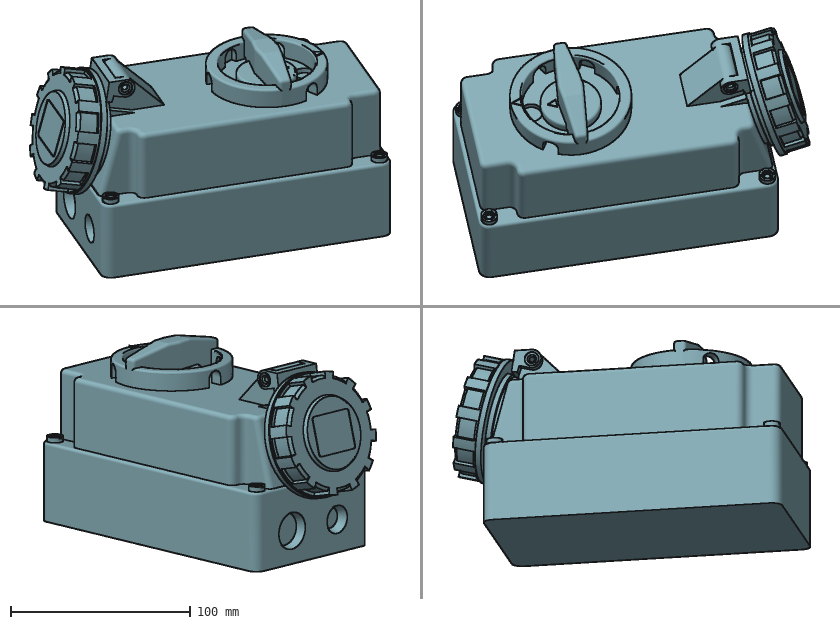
import cadquery as cq
import math

BASE_WIDTH = 90.0
BASE_LENGTH = 170.0
BASE_HEIGHT = 45.6
BASE_CORNER_RADIUS = 6.0
BASE_TOP_FILLET = 1.7

KNOCKOUTS = [(-16.6, 21.0, 18.5), (19.3, 16.0, 12.0)]
KNOCKOUT_HEIGHT = 19.1
KNOCKOUT_DEPTH = 5.8

LID_TOP = 85.6
LID_WIDTH = 84.0
LID_END_WIDTH = 65.7
LID_BACK_GAP = 2.5
LID_NOTCH_LENGTH = 22.0
LID_CORNER_RADIUS = 4.0
LID_SLOPE_FILLET = 3.3
LID_TOP_FILLET = 2.7

SCREW_INSET_X = 6.4
SCREW_INSET_Y = 6.0
SCREW_DIAMETER = 9.0
SCREW_HEIGHT = 2.9
SCREW_RECESS_DIAMETER = 6.0
SCREW_RECESS_DEPTH = 0.8
SCREW_HOLE_DIAMETER = 4.0
SCREW_HOLE_DEPTH = 2.3
SCREW_SLOT_WIDTH = 1.2

KNOB_Y = 110.5
RING_DIAMETER = 68.0
RING_BORE = 54.7
RING_HEIGHT = 11.0
RING_OUTER_FILLET = 1.4
RING_BORE_FILLET = 1.0
WINDOW_ANGLES = [30, 150, 270]
POCKET_ANGLES = [210, 330]
POCKET_DEPTH = 2.9
WINDOW_WIDTH = 9.0
WINDOW_HEIGHT = 9.0
HUB_DIAMETER = 34.0
HUB_HEIGHT = 5.0
HUB_FILLET = 1.4
PADLOCK_DIAMETER = 12.4
PADLOCK_OFFSET = 22.5
PADLOCK_DEPTH = 2.9
MARK_WIDTH = 5.0
MARK_LENGTH = 5.0
MARK_HEIGHT = 0.5
HUB_MARK_GAP = 1.0

HANDLE_WIDTH = 14.3
HANDLE_END_WIDTH = 7.0
HANDLE_TOP = 106.9
HANDLE_END_TOP = 101.6
HANDLE_FLAT_LENGTH = 16.6
HANDLE_FILLET = 2.0

TILT = 15.0
CAP_BACK_Y = 2.0
CAP_BACK_Z = 70.7
NECK_LENGTH = 6.0
NECK_STEP_LENGTH = 2.9
NECK_DIAMETER = 57.0
NECK_STEP_DIAMETER = 53.1
NECK_FLAT_HEIGHT = 25.0
HOUSING_WIDTH = 30.1
HOUSING_TOP_OFFSET = 21.0
HOUSING_LENGTH = 27.0

CAP_FLANGE_DIAMETER = 71.0
CAP_FLANGE_LENGTH = 3.5
CAP_DIAMETER = 69.4
CAP_LENGTH = 16.8
GRIP_COUNT = 12
GRIP_START_ANGLE = 3.0
GRIP_SWEEP = 19.0
GRIP_FLOOR_DIAMETER = 65.3
GRIP_FLOOR_CHAMFER = 1.7
GRIP_BACK = 4.8
DISC_DIAMETER = 43.0
DISC_FRONT_DIAMETER = 41.2
DISC_HEIGHT = 2.3
LABEL_WIDTH = 28.6
LABEL_HEIGHT = 22.8
LABEL_CORNER_RADIUS = 1.7
LABEL_DEPTH = 0.4

PIN_Y = 22.5
PIN_Z = 102.0
BARREL_RADIUS = 5.5
MOUNT_WIDTH = 22.8
MOUNT_FOOT_Y = 14.1
MOUNT_FOOT_Z = 93.5
LEAF_WIDTH = 31.3
LEAF_FRONT_Y = 12.8
LEAF_FLANGE_FRONT = (11.0, 95.3)
LEAF_FLANGE_BACK = (14.3, 94.7)
LEAF_ARM_CORNER = (15.5, 98.4)
LEAF_RECESS_FRONT = 17.8
PIN_HEAD_DIAMETER = 8.0
PIN_HEAD_DEPTH = 0.5
PIN_CONE_DIAMETER = 5.0
PIN_CONE_DEPTH = 1.0
PIN_BORE = 3.0


def along_x(width):
    """YZ sketch plane from which an extrusion by width is centred on X = 0."""
    return cq.Workplane("YZ", origin=(-width / 2, 0, 0))


def socket_plane(distance):
    """Plane square to the socket axis, at a distance in front of the cap's back face."""
    tilt = math.radians(TILT)
    outward = (0, -math.cos(tilt), math.sin(tilt))
    origin = (0, CAP_BACK_Y + outward[1] * distance, CAP_BACK_Z + outward[2] * distance)
    return cq.Workplane(cq.Plane(origin=origin, xDir=(1, 0, 0), normal=outward))


def make_base():
    base = cq.Workplane("XY").box(BASE_WIDTH, BASE_LENGTH, BASE_HEIGHT, centered=(True, False, False))
    base = base.edges("|Z").fillet(BASE_CORNER_RADIUS)
    base = base.faces(">Z").edges().fillet(BASE_TOP_FILLET)
    for x, outer, floor in KNOCKOUTS:
        mouth = cq.Workplane("XZ", origin=(x, 0, KNOCKOUT_HEIGHT)).circle(outer / 2)
        base = base.cut(mouth.workplane(offset=-KNOCKOUT_DEPTH).circle(floor / 2).loft())
    return base


def make_lid():
    height = LID_TOP - BASE_HEIGHT
    length = BASE_LENGTH - LID_BACK_GAP
    ends = cq.Workplane("XY").box(LID_END_WIDTH, length, height, centered=(True, False, False))
    middle_length = BASE_LENGTH - 2 * LID_NOTCH_LENGTH
    middle = cq.Workplane("XY").box(LID_WIDTH, middle_length, height, centered=(True, False, False))
    lid = ends.union(middle.translate((0, LID_NOTCH_LENGTH, 0))).translate((0, 0, BASE_HEIGHT))
    lid = lid.edges("|Z and (not <Y)").fillet(LID_CORNER_RADIUS)
    lid = lid.cut(socket_plane(-NECK_LENGTH).rect(BASE_WIDTH, BASE_LENGTH).extrude(BASE_LENGTH))
    slope = cq.Vector(0, math.sin(math.radians(TILT)), math.cos(math.radians(TILT)))
    lid = lid.edges(cq.selectors.ParallelDirSelector(slope)).fillet(LID_SLOPE_FILLET)
    return lid.faces(">Z").edges().fillet(LID_TOP_FILLET)


def make_screw(x, y):
    screw = cq.Workplane("XY", origin=(x, y, BASE_HEIGHT)).circle(SCREW_DIAMETER / 2).extrude(SCREW_HEIGHT)
    top = screw.faces(">Z").workplane()
    screw = screw.cut(top.circle(SCREW_RECESS_DIAMETER / 2).extrude(-SCREW_RECESS_DEPTH, combine=False))
    screw = screw.cut(top.circle(SCREW_HOLE_DIAMETER / 2).extrude(-SCREW_HOLE_DEPTH, combine=False))
    slot = top.rect(SCREW_SLOT_WIDTH, SCREW_DIAMETER).extrude(-SCREW_RECESS_DEPTH, combine=False)
    return screw.cut(slot)


def make_mark(y, z):
    """Raised triangle pointing to +Y, with the middle of its base at the given Y and its foot at Z."""
    mark = cq.Workplane("XY", origin=(0, y, z))
    mark = mark.polyline([(-MARK_WIDTH / 2, 0), (MARK_WIDTH / 2, 0), (0, MARK_LENGTH)]).close()
    return mark.extrude(MARK_HEIGHT)


def make_window(angle, reach):
    """Arched radial cutter from the switch axis out to a reach."""
    half = WINDOW_WIDTH / 2
    arch = cq.Workplane("YZ").moveTo(-half, 0).lineTo(half, 0).lineTo(half, WINDOW_HEIGHT - half)
    arch = arch.threePointArc((0, WINDOW_HEIGHT), (-half, WINDOW_HEIGHT - half)).close().extrude(reach)
    return arch.rotate((0, 0, 0), (0, 0, 1), angle).translate((0, KNOB_Y, LID_TOP))


def make_ring():
    ring = cq.Workplane("XY", origin=(0, KNOB_Y, LID_TOP)).circle(RING_DIAMETER / 2).extrude(RING_HEIGHT)
    ring = ring.faces(">Z").edges().fillet(RING_OUTER_FILLET)
    ring = ring.faces(">Z").workplane().circle(RING_BORE / 2).cutThruAll()
    bore_edge = cq.selectors.RadiusNthSelector(0)
    ring = ring.faces(">Z").edges("%CIRCLE").edges(bore_edge).fillet(RING_BORE_FILLET)
    for angle in WINDOW_ANGLES:
        ring = ring.cut(make_window(angle, RING_DIAMETER))
    for angle in POCKET_ANGLES:
        ring = ring.cut(make_window(angle, RING_BORE / 2 + POCKET_DEPTH))
    return ring.union(make_mark(KNOB_Y + RING_BORE / 2 + RING_BORE_FILLET, LID_TOP + RING_HEIGHT))


def make_handle():
    half_length = RING_DIAMETER / 2
    half_flat = HANDLE_FLAT_LENGTH / 2
    side = cq.Workplane("XZ", origin=(0, KNOB_Y + HANDLE_WIDTH, 0)).polyline([
        (-half_length, LID_TOP),
        (half_length, LID_TOP),
        (half_length, HANDLE_END_TOP),
        (half_flat, HANDLE_TOP),
        (-half_flat, HANDLE_TOP),
        (-half_length, HANDLE_END_TOP),
    ]).close().extrude(2 * HANDLE_WIDTH)
    half_width = HANDLE_WIDTH / 2
    half_end = HANDLE_END_WIDTH / 2
    plan = cq.Workplane("XY", origin=(0, KNOB_Y, LID_TOP)).polyline([
        (-half_length, -half_end),
        (0, -half_width),
        (half_length, -half_end),
        (half_length, half_end),
        (0, half_width),
        (-half_length, half_end),
    ]).close().extrude(HANDLE_TOP)
    handle = side.intersect(plan)
    handle = handle.edges("|Z and (<X or >X)").fillet(HANDLE_FILLET)
    return handle.faces("not (#Z or <Z)").edges().fillet(HANDLE_FILLET)


def make_knob():
    hub = cq.Workplane("XY", origin=(0, KNOB_Y, LID_TOP)).circle(HUB_DIAMETER / 2).extrude(HUB_HEIGHT)
    hub = hub.faces(">Z").edges().fillet(HUB_FILLET)
    mark = make_mark(KNOB_Y + HANDLE_WIDTH / 2 + HUB_MARK_GAP, LID_TOP + HUB_HEIGHT)
    return make_ring().union(hub).union(mark).union(make_handle())


def padlock_recess():
    recess = cq.Workplane("XY", origin=(0, KNOB_Y + PADLOCK_OFFSET, LID_TOP - PADLOCK_DEPTH))
    return recess.circle(PADLOCK_DIAMETER / 2).extrude(PADLOCK_DEPTH)


def make_flattened_disc(back, length, diameter, flat_height):
    """Disc on the socket axis with a flat cut across its top."""
    disc = socket_plane(back).circle(diameter / 2).extrude(length)
    above = socket_plane(back).center(0, flat_height + diameter / 2).rect(diameter, diameter)
    return disc.cut(above.extrude(length))


def make_neck():
    housing = socket_plane(-HOUSING_LENGTH).rect(HOUSING_WIDTH, 2 * HOUSING_TOP_OFFSET)
    housing = housing.extrude(HOUSING_LENGTH)
    step = make_flattened_disc(-NECK_LENGTH, NECK_LENGTH, NECK_STEP_DIAMETER, NECK_FLAT_HEIGHT)
    rim_length = NECK_LENGTH - NECK_STEP_LENGTH
    rim = make_flattened_disc(-rim_length, rim_length, NECK_DIAMETER, NECK_FLAT_HEIGHT)
    return housing.union(step).union(rim)


def make_cap():
    cap = socket_plane(0).circle(CAP_FLANGE_DIAMETER / 2).extrude(CAP_FLANGE_LENGTH)
    cap = cap.union(socket_plane(0).circle(CAP_DIAMETER / 2).extrude(CAP_LENGTH))
    reach = CAP_FLANGE_DIAMETER
    core = socket_plane(GRIP_BACK).circle(GRIP_FLOOR_DIAMETER / 2).extrude(CAP_LENGTH - GRIP_BACK)
    core = core.faces("<Y").edges().chamfer(GRIP_FLOOR_CHAMFER)
    for index in range(GRIP_COUNT):
        middle = GRIP_START_ANGLE + index * 360 / GRIP_COUNT
        start = math.radians(middle - GRIP_SWEEP / 2)
        end = math.radians(middle + GRIP_SWEEP / 2)
        sector = socket_plane(GRIP_BACK).polyline([
            (0, 0),
            (reach * math.cos(start), reach * math.sin(start)),
            (reach * math.cos(end), reach * math.sin(end)),
        ]).close().extrude(CAP_LENGTH)
        cap = cap.cut(sector.cut(core))
    disc = socket_plane(CAP_LENGTH).circle(DISC_DIAMETER / 2)
    disc = disc.workplane(offset=DISC_HEIGHT).circle(DISC_FRONT_DIAMETER / 2).loft()
    label = socket_plane(CAP_LENGTH + DISC_HEIGHT - LABEL_DEPTH).rect(LABEL_WIDTH, LABEL_HEIGHT)
    label = label.extrude(DISC_HEIGHT)
    corners = cq.selectors.ParallelDirSelector(socket_plane(0).plane.zDir)
    label = label.edges(corners).fillet(LABEL_CORNER_RADIUS)
    return cap.union(disc).cut(label)


def make_hinge():
    slope_step = BARREL_RADIUS * math.sqrt(0.5)
    slope_foot = PIN_Y + PIN_Z + BARREL_RADIUS * math.sqrt(2) - LID_TOP
    mount = along_x(MOUNT_WIDTH).moveTo(slope_foot, LID_TOP)
    mount = mount.lineTo(PIN_Y + slope_step, PIN_Z + slope_step)
    mount = mount.threePointArc((PIN_Y, PIN_Z + BARREL_RADIUS), (PIN_Y - BARREL_RADIUS, PIN_Z))
    mount = mount.lineTo(MOUNT_FOOT_Y, MOUNT_FOOT_Z).lineTo(MOUNT_FOOT_Y, LID_TOP).close().extrude(MOUNT_WIDTH)

    leaf = along_x(LEAF_WIDTH).moveTo(PIN_Y, PIN_Z + BARREL_RADIUS)
    leaf = leaf.lineTo(LEAF_FRONT_Y, PIN_Z + BARREL_RADIUS)
    leaf = leaf.lineTo(*LEAF_FLANGE_FRONT).lineTo(*LEAF_FLANGE_BACK).lineTo(*LEAF_ARM_CORNER)
    leaf = leaf.lineTo(PIN_Y, PIN_Z - BARREL_RADIUS)
    leaf = leaf.threePointArc((PIN_Y + BARREL_RADIUS, PIN_Z), (PIN_Y, PIN_Z + BARREL_RADIUS)).close()
    leaf = leaf.extrude(LEAF_WIDTH)
    recess = cq.Workplane("XY").box(MOUNT_WIDTH, BASE_LENGTH, BASE_LENGTH, centered=(True, False, False))
    leaf = leaf.cut(recess.translate((0, LEAF_RECESS_FRONT, 0)))

    hinge = mount.union(leaf)
    for side in (-1, 1):
        head = cq.Workplane("YZ", origin=(side * LEAF_WIDTH / 2, PIN_Y, PIN_Z)).circle(PIN_HEAD_DIAMETER / 2)
        hinge = hinge.cut(head.extrude(-side * PIN_HEAD_DEPTH))
        cone = cq.Workplane("YZ", origin=(side * (LEAF_WIDTH / 2 - PIN_HEAD_DEPTH), PIN_Y, PIN_Z))
        cone = cone.circle(PIN_CONE_DIAMETER / 2).workplane(offset=-side * PIN_CONE_DEPTH)
        hinge = hinge.cut(cone.circle(PIN_BORE / 2).loft())
    return hinge.cut(along_x(LEAF_WIDTH).center(PIN_Y, PIN_Z).circle(PIN_BORE / 2).extrude(LEAF_WIDTH))


result = make_base().union(make_lid()).union(make_neck()).union(make_cap()).union(make_hinge())
for side in (-1, 1):
    for screw_y in (SCREW_INSET_Y, BASE_LENGTH - SCREW_INSET_Y):
        result = result.union(make_screw(side * (BASE_WIDTH / 2 - SCREW_INSET_X), screw_y))
result = result.cut(padlock_recess()).union(make_knob())